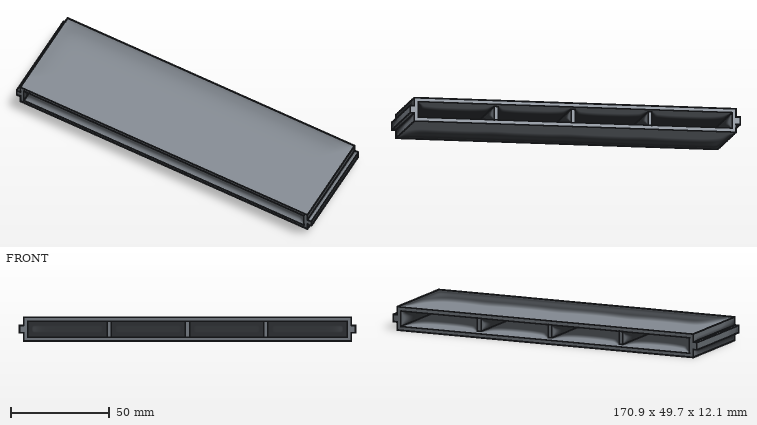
import cadquery as cq

overall_length = 170.9
depth = 49.7
height = 12.1

wall = 2.0
rail_width = 2.2
rail_height = 3.8

divider_thickness = 2.0
divider_pitch = 39.8
divider_recess = 6.0

body_length = overall_length - 2 * rail_width
cavity_length = body_length - 2 * wall
cavity_height = height - 2 * wall
cavity_depth = depth - wall
front_y = -depth / 2


def box_from_front(length, box_depth, box_height, center_x=0, start_y=front_y):
    """Box centred in Z that extends towards +Y from start_y."""
    box = cq.Workplane("XY").box(length, box_depth, box_height, centered=(True, False, True))
    return box.translate((center_x, start_y, 0))


body = box_from_front(body_length, depth, height)
rails = box_from_front(overall_length, depth, rail_height)

cavity = box_from_front(cavity_length, cavity_depth, cavity_height)
result = body.union(rails).cut(cavity)

for position in (-1, 0, 1):
    divider = box_from_front(
        divider_thickness,
        cavity_depth - divider_recess,
        cavity_height,
        center_x=position * divider_pitch,
        start_y=front_y + divider_recess,
    )
    result = result.union(divider)